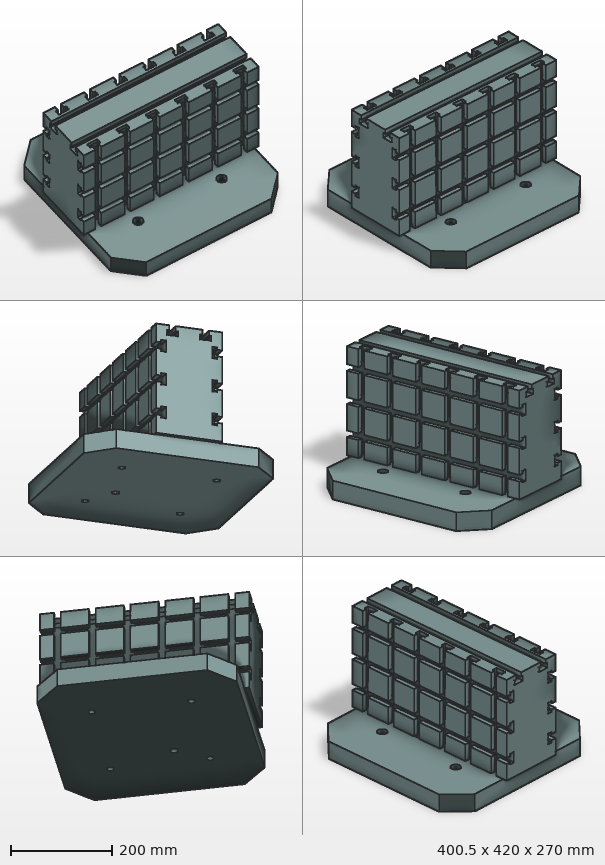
import cadquery as cq

base_side = 400.5
base_height = 40.0
corner_cut = 50.0

tower_length = 420.0
overall_height = 270.0
slot_columns = 6
slot_rows = 3
slot_pitch = tower_length / slot_columns
tower_width = 2 * slot_pitch
tower_height = overall_height - base_height
tower_middle_z = base_height + tower_height / 2

neck_width = 14.0
head_width = 24.0
neck_depth = 10.5
slot_depth = 21.0

bolt_spacing = base_side / 2
bolt_diameter = 14.0
counterbore_diameter = 21.0
counterbore_depth = base_height / 2
locating_diameter = 14.5
locating_inset = 9.0


def centred_places(count):
    """Places of evenly pitched slots, centred on zero."""
    return [(i - (count - 1) / 2) * slot_pitch for i in range(count)]


def t_slot(length):
    """T-slot cutter running along Y, its mouth at Z = 0 and its head below."""
    neck = cq.Workplane("XY").box(neck_width, length, slot_depth, centered=(True, True, False))
    head = cq.Workplane("XY").box(
        head_width, length, slot_depth - neck_depth, centered=(True, True, False)
    )
    return neck.union(head).translate((0, 0, -slot_depth))


def make_base():
    plate = cq.Workplane("XY").box(base_side, base_side, base_height, centered=(True, True, False))
    return plate.edges("|Z").chamfer(corner_cut)


def make_tower():
    tower = cq.Workplane("XY").box(tower_width, tower_length, tower_height)

    top_slot = t_slot(tower_length)
    for x in centred_places(2):
        tower = tower.cut(top_slot.translate((x, 0, tower_height / 2)))

    for side in (-1, 1):
        face_x = side * tower_width / 2
        row_slot = t_slot(tower_length).rotate((0, 0, 0), (0, 1, 0), side * 90)
        column_slot = t_slot(tower_height).rotate((0, 0, 0), (1, 0, 0), 90)
        column_slot = column_slot.rotate((0, 0, 0), (0, 0, 1), side * 90)
        for z in centred_places(slot_rows):
            tower = tower.cut(row_slot.translate((face_x, 0, z)))
        for y in centred_places(slot_columns):
            tower = tower.cut(column_slot.translate((face_x, y, 0)))

    return tower.translate((0, 0, tower_middle_z))


def drill_base(base):
    """Four counterbored bolt holes and one plain hole under a column slot."""
    base = (
        base.faces(">Z").workplane(origin=(0, 0, base_height))
        .rect(bolt_spacing, bolt_spacing, forConstruction=True).vertices()
        .cboreHole(bolt_diameter, counterbore_diameter, counterbore_depth)
    )
    locating_place = (-tower_width / 2 + locating_inset, slot_pitch / 2)
    return (
        base.faces(">Z").workplane(origin=(0, 0, base_height))
        .pushPoints([locating_place])
        .hole(locating_diameter)
    )


result = drill_base(make_base()).union(make_tower())